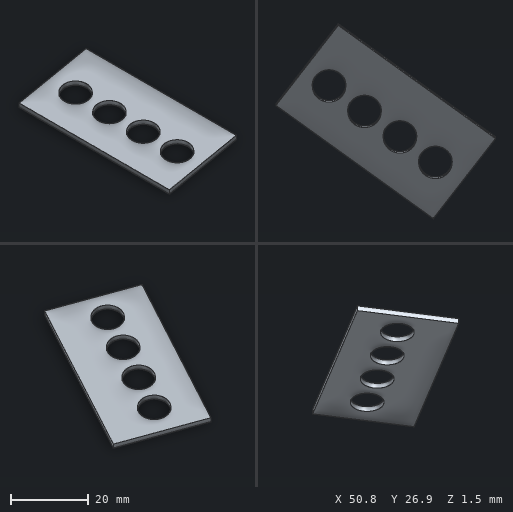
import cadquery as cq

length = 50.8
width = 26.9
thickness = 1.5

hole_diameter = 8.65
hole_count = 4
hole_pitch = 11.45
first_hole_from_left = 8.65
row_from_front = 12.45

hole_centers = [
    (first_hole_from_left + index * hole_pitch, row_from_front)
    for index in range(hole_count)
]

plate = cq.Workplane("XY").box(length, width, thickness, centered=False)
holes = (
    cq.Workplane("XY")
    .pushPoints(hole_centers)
    .circle(hole_diameter / 2)
    .extrude(thickness)
)

result = plate.cut(holes)